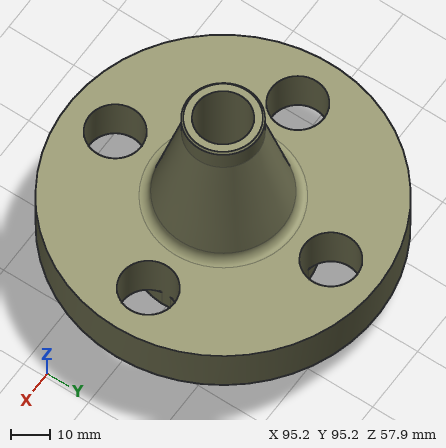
import cadquery as cq

flange_diameter = 95.2
flange_thickness = 14.3

face_diameter = 50.8
face_height = 5.5

total_height = 57.9
hub_base_diameter = 38.1
neck_diameter = 21.3
neck_length = 6.6
neck_chamfer = 0.6
hub_fillet = 3.0
bore_diameter = 15.8

bolt_count = 4
bolt_circle_diameter = 66.6
bolt_hole_diameter = 16.0

flange_top = face_height + flange_thickness


def make_flange():
    """Disc with the raised face below it."""
    raised_face = cq.Workplane("XY").circle(face_diameter / 2).extrude(face_height)
    disc = (
        cq.Workplane("XY", origin=(0, 0, face_height))
        .circle(flange_diameter / 2)
        .extrude(flange_thickness)
    )
    return raised_face.union(disc)


def make_neck():
    """Tapered hub that ends in a short straight pipe stub with a chamfered rim."""
    hub_radius = hub_base_diameter / 2
    neck_radius = neck_diameter / 2
    profile = [
        (0, flange_top),
        (hub_radius, flange_top),
        (neck_radius, total_height - neck_length),
        (neck_radius, total_height - neck_chamfer),
        (neck_radius - neck_chamfer, total_height),
        (0, total_height),
    ]
    return cq.Workplane("XZ").polyline(profile).close().revolve(360, (0, 0), (0, 1))


def round_hub_root(body):
    """Fillet the inner corner where the hub meets the top of the disc."""
    hub_radius = hub_base_diameter / 2
    margin = 0.5
    corner = cq.selectors.BoxSelector(
        (-hub_radius - margin, -hub_radius - margin, flange_top - margin),
        (hub_radius + margin, hub_radius + margin, flange_top + margin),
        boundingbox=True,
    )
    return body.edges(corner).fillet(hub_fillet)


def make_bore():
    return cq.Workplane("XY").circle(bore_diameter / 2).extrude(total_height)


def make_bolt_holes():
    """Bolt holes on the X and Y axes; they also nick the rim of the raised face."""
    return (
        cq.Workplane("XY")
        .polarArray(bolt_circle_diameter / 2, 0, 360, bolt_count)
        .circle(bolt_hole_diameter / 2)
        .extrude(flange_top)
    )


body = round_hub_root(make_flange().union(make_neck()))
result = body.cut(make_bore()).cut(make_bolt_holes())